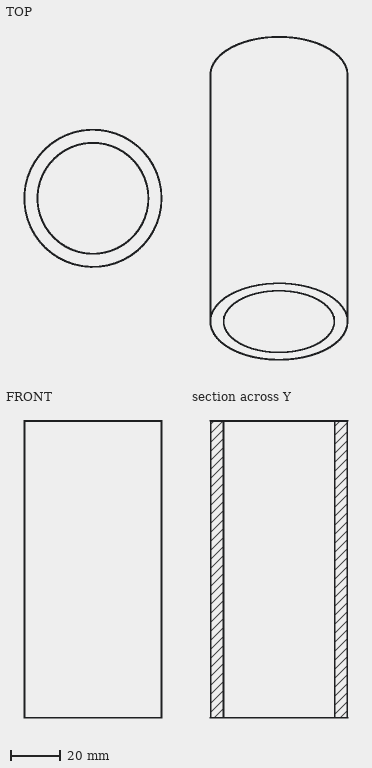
import cadquery as cq

length = 120.0
outer_diameter = 55.5
wall_thickness = 5.4
inner_diameter = outer_diameter - 2 * wall_thickness

result = (
    cq.Workplane("XY")
    .circle(outer_diameter / 2)
    .circle(inner_diameter / 2)
    .extrude(length)
)